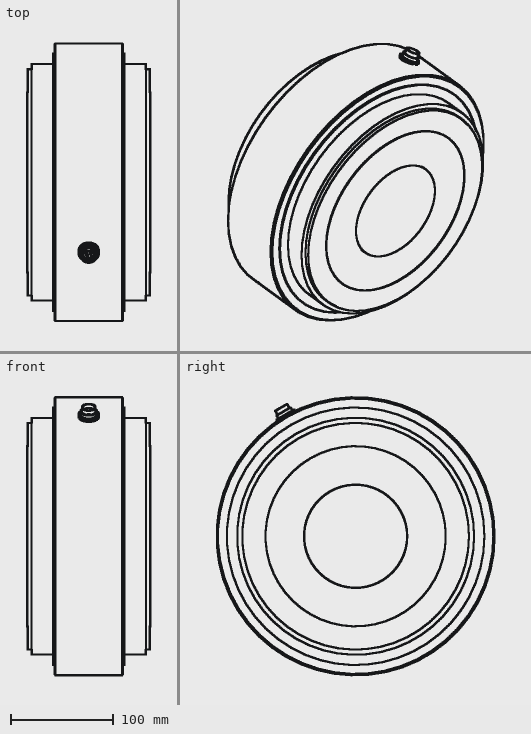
import cadquery as cq

outer_diameter = 270.0
drum_half_width = 33.5
drum_chamfer = 1.4
shoulder_diameter = 250.0
shoulder_half_width = 34.8
hub_diameter = 230.0
hub_half_width = 55.4
step_diameter = 220.0
step_half_width = 59.5
face_diameter = 175.0
face_half_width = 60.0
bore_diameter = 100.0

connector_tilt = 30.0
seat_radius = 134.0
flange_top_radius = 136.4
collar_top_radius = 139.9
tip_radius = 144.5
flange_diameter = 20.0
collar_diameter = 16.0
neck_diameter = 13.5

socket_wall = 0.8
socket_depth = 7.0
key_width = 1.0
key_depth = 0.68
key_height = 3.2
pin_count = 4
pin_diameter = 1.0
pin_circle_radius = 2.5
pin_height = 4.5
pin_start_angle = 65.0


def disc(diameter, half_width):
    """Cylinder along X, centred on the origin."""
    return (
        cq.Workplane("YZ", origin=(-half_width, 0, 0))
        .circle(diameter / 2)
        .extrude(2 * half_width)
    )


def tilt(body):
    """Swing a body from the Z axis onto the connector axis."""
    return body.rotate((0, 0, 0), (1, 0, 0), connector_tilt)


def make_housing():
    drum = disc(outer_diameter, drum_half_width).edges().chamfer(drum_chamfer)
    housing = (
        drum.union(disc(shoulder_diameter, shoulder_half_width))
        .union(disc(hub_diameter, hub_half_width))
        .union(disc(step_diameter, step_half_width))
        .union(disc(face_diameter, face_half_width))
        .cut(disc(bore_diameter, face_half_width))
    )
    seat = (
        cq.Workplane("XY").workplane(offset=seat_radius)
        .circle(flange_diameter / 2)
        .extrude(flange_top_radius - seat_radius)
    )
    return housing.cut(tilt(seat))


def make_connector():
    shell = (
        cq.Workplane("XZ")
        .moveTo(0, seat_radius)
        .lineTo(flange_diameter / 2, seat_radius)
        .lineTo(flange_diameter / 2, flange_top_radius)
        .lineTo(collar_diameter / 2, flange_top_radius)
        .lineTo(collar_diameter / 2, collar_top_radius)
        .lineTo(neck_diameter / 2, collar_top_radius)
        .lineTo(neck_diameter / 2, tip_radius)
        .lineTo(0, tip_radius)
        .close()
        .revolve(360, (0, 0), (0, 1))
    )
    socket_radius = neck_diameter / 2 - socket_wall
    socket_floor = tip_radius - socket_depth
    socket = (
        cq.Workplane("XY").workplane(offset=socket_floor)
        .circle(socket_radius)
        .extrude(socket_depth)
    )
    key = (
        cq.Workplane("XY").workplane(offset=socket_floor)
        .center(0, -socket_radius)
        .rect(key_width, 2 * key_depth)
        .extrude(key_height)
    )
    connector = shell.cut(socket).union(key)
    pins = (
        cq.Workplane("XY").workplane(offset=socket_floor)
        .polarArray(pin_circle_radius, pin_start_angle, 360, pin_count)
        .circle(pin_diameter / 2)
        .extrude(pin_height)
    )
    return tilt(connector.union(pins))


housing = make_housing()
connector = make_connector()
result = cq.Compound.makeCompound([housing.val(), connector.val()])